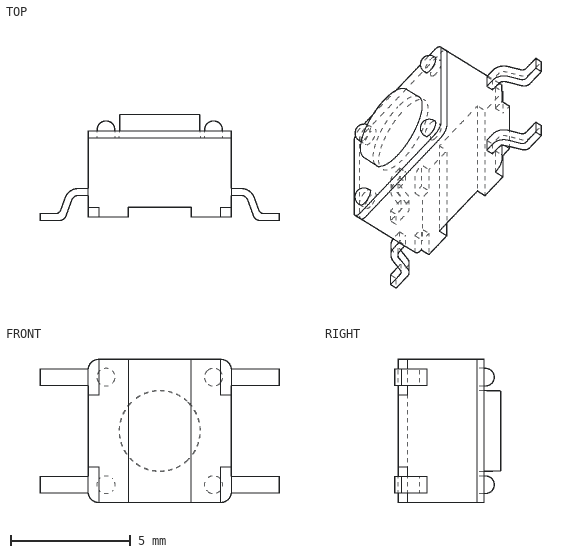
import cadquery as cq
import math


TOTAL_LENGTH = 10.0
BODY_SIZE = 6.0
CORNER_RADIUS = 0.45

BODY_BOTTOM = 0.15
BASE_HEIGHT = 3.3
COVER_THICKNESS = 0.3
BUTTON_HEIGHT = 0.7
BASE_TOP = BODY_BOTTOM + BASE_HEIGHT
COVER_TOP = BASE_TOP + COVER_THICKNESS

RELIEF_DEPTH = 0.4
CHANNEL_WIDTH = 2.62
NOTCH_WIDTH = CORNER_RADIUS
NOTCH_LENGTH = 1.5

POST_DIAMETER = 0.75
POST_RADIUS = POST_DIAMETER / 2
POST_STEM = 0.05
POST_OFFSET = 2.25

BUTTON_BASE_RADIUS = 1.7
BUTTON_TIP_RADIUS = 1.68
BUTTON_EDGE_FILLET = 0.05

LEAD_WIDTH = 0.7
LEAD_THICKNESS = 0.3
LEAD_OFFSET = 2.25
LEAD_RISE = 1.05
LEAD_SLOPE = math.radians(70)
SOLE_CORNER_X = 3.99
UPPER_BEND_INNER = 0.3
UPPER_BEND_OUTER = UPPER_BEND_INNER + LEAD_THICKNESS
LOWER_BEND_INNER = 0.2
LOWER_BEND_OUTER = 0.3

SIDES = (-1, 1)


def section_at(y):
    """Workplane in XZ at the given height; extrude by a negative length to go toward +Y."""
    return cq.Workplane("XZ", origin=(0, y, 0))


def rounded_plate(y, height):
    return section_at(y).rect(BODY_SIZE, BODY_SIZE).extrude(-height).edges("|Y").fillet(CORNER_RADIUS)


def post_centres(y):
    return section_at(y).rect(2 * POST_OFFSET, 2 * POST_OFFSET, forConstruction=True).vertices()


def make_posts():
    """Four posts with hemispherical heads, rising from the base through the cover."""
    stem_height = COVER_THICKNESS + POST_STEM
    stems = post_centres(BASE_TOP).circle(POST_RADIUS).extrude(-stem_height)
    heads = post_centres(BASE_TOP + stem_height).sphere(POST_RADIUS)
    return stems.union(heads)


def make_base():
    base = rounded_plate(BODY_BOTTOM, BASE_HEIGHT)

    channel = section_at(BODY_BOTTOM).rect(CHANNEL_WIDTH, BODY_SIZE).extrude(-RELIEF_DEPTH)
    base = base.cut(channel)

    notches = (
        section_at(BODY_BOTTOM)
        .rect(BODY_SIZE - NOTCH_WIDTH, BODY_SIZE - NOTCH_LENGTH, forConstruction=True)
        .vertices()
        .rect(NOTCH_WIDTH, NOTCH_LENGTH)
        .extrude(-RELIEF_DEPTH)
    )
    return base.cut(notches).union(make_posts())


def make_cover(button):
    """Plate on the base, with openings that match the button and the post stems."""
    cover = rounded_plate(BASE_TOP, COVER_THICKNESS)
    stem_holes = post_centres(BASE_TOP).circle(POST_RADIUS).extrude(-COVER_THICKNESS)
    return cover.cut(button).cut(stem_holes)


def make_button():
    """Slightly tapered round button that rests on the base and passes through the cover."""
    tip_y = COVER_TOP + BUTTON_HEIGHT
    half_profile = [
        (BASE_TOP, 0),
        (BASE_TOP, BUTTON_BASE_RADIUS),
        (tip_y, BUTTON_TIP_RADIUS),
        (tip_y, 0),
    ]
    button = cq.Workplane("YZ").polyline(half_profile).close().revolve(360, (0, 0), (1, 0))
    return button.faces(">Y").edges().fillet(BUTTON_EDGE_FILLET)


def make_lead(x_side, z_side):
    """Bent strip from the side of the base down to a flat foot."""
    body_x = BODY_SIZE / 2
    tip_x = TOTAL_LENGTH / 2
    run = LEAD_RISE / math.tan(LEAD_SLOPE)
    miter = LEAD_THICKNESS * math.tan(LEAD_SLOPE / 2)

    sole_corner = (SOLE_CORNER_X, 0)
    upper_inner = (SOLE_CORNER_X - run, LEAD_RISE)
    upper_outer = (upper_inner[0] + miter, LEAD_RISE + LEAD_THICKNESS)
    foot_inner = (SOLE_CORNER_X + miter, LEAD_THICKNESS)
    outline = [
        (tip_x, 0),
        sole_corner,
        upper_inner,
        (body_x, LEAD_RISE),
        (body_x, LEAD_RISE + LEAD_THICKNESS),
        upper_outer,
        foot_inner,
        (tip_x, LEAD_THICKNESS),
    ]
    lead = cq.Workplane("XY").polyline(outline).close().extrude(LEAD_WIDTH / 2, both=True)

    bends = [
        (sole_corner, LOWER_BEND_OUTER),
        (upper_inner, UPPER_BEND_INNER),
        (upper_outer, UPPER_BEND_OUTER),
        (foot_inner, LOWER_BEND_INNER),
    ]
    for (x, y), radius in bends:
        lead = lead.edges(cq.NearestToPointSelector((x, y, 0))).fillet(radius)

    if x_side < 0:
        lead = lead.mirror("YZ")
    return lead.translate((0, 0, z_side * LEAD_OFFSET))


base = make_base()
button = make_button()
cover = make_cover(button)
leads = [make_lead(x_side, z_side) for x_side in SIDES for z_side in SIDES]

result = cq.Compound.makeCompound(
    [body.solids().val() for body in (base, cover, button, *leads)]
)